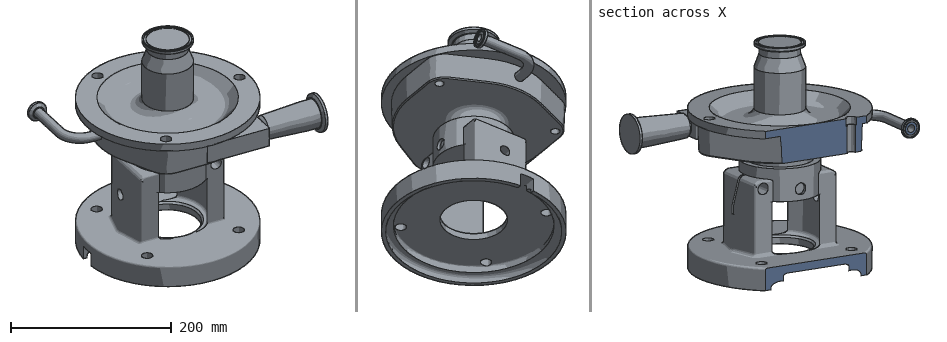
import cadquery as cq
import math

BASE_TOP = 29.4
HUB_BOTTOM = 98.0
LEG_TOP = 126.5
HUB_TOP = 140.5
BODY_BOTTOM = 160.5
BODY_TOP = 196.0
FLANGE_TOP = 206.0
PART_TOP = 290.5

PART_LENGTH = 320.7
PICK_MARGIN = 0.5

FLANGE_RADIUS = 115.0
BASE_RIM_FILLET = 3.0
BASE_BORE_RADIUS = 42.0
BASE_BORE_CHAMFER = 2.5
BASE_HOLE_RADIUS = 7.0
BASE_HOLE_CIRCLE_RADIUS = 92.0
BASE_HOLE_COUNT = 4
RECESS_OUTER_RADIUS = 109.5
RECESS_OUTER_DEPTH = 9.2
RECESS_OUTER_FILLET = 7.0
RECESS_INNER_RADIUS = 100.0
RECESS_INNER_DEPTH = 18.3
RECESS_INNER_FILLET = 3.0
NOTCH_WIDTH = 19.4
NOTCH_FILLET = 1.5

LEG_HALF_WIDTH = 39.0
LEG_INNER_RADIUS = 52.0
LEG_RIDGE_HALF_WIDTH = 2.9
LEG_RIDGE_Y = 68.4
LEG_FACE_ANGLE = 15.0
LEG_SLOPE_START = 88.0
LEG_EDGE_FILLET = 3.0
LEG_TOP_FILLET = 8.8
LEG_SIDE_FILLET = 3.3
LEG_FOOT_FILLET = 5.0
LEG_HOLE_RADIUS = 7.0
LEG_HOLE_Z = 84.8
CLAMP_SLIT_WIDTH = 3.4
CLAMP_HOLE_RADIUS = 7.4
CLAMP_HOLE_Y = 47.4
CLAMP_HOLE_Z = 116.6

HUB_RADIUS = 51.0
HUB_HOLE_RADIUS = 7.5
HUB_HOLE_DEPTH = 4.0
HUB_HOLE_Z = 112.8
NECK_RADIUS = 42.0
NECK_FILLET = 10.0

BODY_RADIUS = 102.6
BODY_NARROW_RADIUS = 98.0
BODY_NARROW_ANGLE = 270.0
LOBE_RADIUS = 29.0
LOBE_CENTRE_RADIUS = 85.0
LOBE_ANGLES = (90.0, 210.0, 330.0)
LOBE_SPACING = 120.0
BODY_DRAFT = 2.0
BODY_EDGE_CHAMFER = 1.5
FLANGE_HOLE_RADIUS = 7.0
LOBE_HOLE_RADIUS = 5.8
FLANGE_HOLE_CIRCLE_RADIUS = 102.0
DISH_RIM_RADIUS = 88.0
DISH_CONE_RADIUS = 77.8
DISH_FLOOR_RADIUS = 67.0
DISH_DEPTH = 14.5

INLET_RADIUS = 32.3
INLET_ROOT_WIDTH = 20.0
INLET_ROOT_HEIGHT = 13.5
INLET_SHOULDER_Z = 258.5
INLET_NECK_Z = 275.8
INLET_NECK_RADIUS = 26.0
INLET_FERRULE_RADIUS = 32.0
INLET_GROOVE_INNER_RADIUS = 27.0
INLET_GROOVE_OUTER_RADIUS = 30.0

OUTLET_X = 79.0
OUTLET_Z = 176.6
OUTLET_END_Y = 170.4
OUTLET_TAPER_Y = 149.5
OUTLET_WELD_Y = 92.0
OUTLET_BOSS_Y = 88.3
OUTLET_RADIUS = 18.9
OUTLET_SMALL_RADIUS = 15.8
OUTLET_ROOT_RADIUS = 12.7
OUTLET_FERRULE_RADIUS = 25.2
OUTLET_BOSS_WIDTH = 48.0
OUTLET_BOSS_HEIGHT = 25.4
OUTLET_BOSS_FILLET = 1.0

DRAIN_Z = 180.0
DRAIN_START_RADIUS = 90.0
DRAIN_RADIUS = 6.5
DRAIN_BORE_RADIUS = 4.7
DRAIN_BEND_RADIUS = 28.5
DRAIN_END_X = -88.8
DRAIN_FERRULE_RADIUS = 12.6
DRAIN_GROOVE_INNER_RADIUS = 8.6
DRAIN_GROOVE_OUTER_RADIUS = 10.8
DRAIN_Y = OUTLET_END_Y - PART_LENGTH + DRAIN_FERRULE_RADIUS

FERRULE_RIM = 3.6
FERRULE_CONE = 2.4
FERRULE_BACK_FRACTION = 0.25
FERRULE_GROOVE_DEPTH = 1.2


def polar(radius, degrees):
    """Point at a distance and direction from the part axis."""
    angle = math.radians(degrees)
    return (radius * math.cos(angle), radius * math.sin(angle))


def offset_point(centre, radius, degrees):
    """Point at a distance and direction from a given centre."""
    offset = polar(radius, degrees)
    return (centre[0] + offset[0], centre[1] + offset[1])


def disc(radius, bottom, top):
    return cq.Workplane("XY").workplane(offset=bottom).circle(radius).extrude(top - bottom)


def revolved(profile):
    """Revolve an (radius, height) profile about the Z axis."""
    return cq.Workplane("XZ").polyline(profile).close().revolve(360, (0, 0, 0), (0, 1, 0))


def ferrule(outer_radius, tube_radius):
    """Clamp ferrule with its face at Z = 0 and its tapered back towards -Z."""
    back_radius = tube_radius + (outer_radius - tube_radius) * FERRULE_BACK_FRACTION
    return revolved([
        (0, 0),
        (outer_radius, 0),
        (outer_radius, -FERRULE_RIM),
        (back_radius, -FERRULE_RIM - FERRULE_CONE),
        (0, -FERRULE_RIM - FERRULE_CONE),
    ])


def face_groove(inner_radius, outer_radius):
    """Gasket groove tool, to be cut from a ferrule face at Z = 0."""
    return disc(outer_radius, -FERRULE_GROOVE_DEPTH, 0).cut(disc(inner_radius, -FERRULE_GROOVE_DEPTH, 0))


def make_leg():
    """Leg on the -Y side: ridged outer face, sloped shoulder, hub bore inside."""
    side_y = LEG_RIDGE_Y - (LEG_HALF_WIDTH - LEG_RIDGE_HALF_WIDTH) * math.tan(math.radians(LEG_FACE_ANGLE))
    leg = (
        cq.Workplane("XY")
        .polyline([
            (-LEG_HALF_WIDTH, 0),
            (-LEG_HALF_WIDTH, -side_y),
            (-LEG_RIDGE_HALF_WIDTH, -LEG_RIDGE_Y),
            (LEG_RIDGE_HALF_WIDTH, -LEG_RIDGE_Y),
            (LEG_HALF_WIDTH, -side_y),
            (LEG_HALF_WIDTH, 0),
        ])
        .close()
        .extrude(LEG_TOP)
    )
    corner_picker = cq.selectors.BoxSelector(
        (-LEG_HALF_WIDTH - PICK_MARGIN, -side_y - PICK_MARGIN, 0),
        (LEG_HALF_WIDTH + PICK_MARGIN, -side_y + PICK_MARGIN, LEG_TOP),
    )
    leg = leg.edges("|Z").edges(corner_picker).fillet(LEG_EDGE_FILLET)

    slope_run = (LEG_TOP - LEG_SLOPE_START) * math.tan(math.radians(LEG_FACE_ANGLE))
    shoulder = (
        cq.Workplane("YZ")
        .polyline([
            (-LEG_RIDGE_Y, LEG_SLOPE_START),
            (-LEG_RIDGE_Y + slope_run, LEG_TOP),
            (-LEG_RIDGE_Y, LEG_TOP),
        ])
        .close()
        .extrude(LEG_HALF_WIDTH, both=True)
    )
    leg = leg.cut(shoulder)
    leg = leg.faces(">Z").edges("<Y").fillet(LEG_TOP_FILLET)
    leg = leg.faces(">Z").edges("|Y").fillet(LEG_SIDE_FILLET)
    return leg.cut(disc(LEG_INNER_RADIUS, 0, HUB_BOTTOM)).cut(disc(HUB_RADIUS, HUB_BOTTOM, LEG_TOP))


def make_stand():
    """Base disc with both legs and the fillet around their feet."""
    leg = make_leg()
    legs = leg.union(leg.rotate((0, 0, 0), (0, 0, 1), 180))
    base = disc(FLANGE_RADIUS, 0, BASE_TOP).faces(">Z").edges().fillet(BASE_RIM_FILLET)
    stand = base.union(legs)
    foot_limit = LEG_RIDGE_Y + PICK_MARGIN
    foot = cq.selectors.BoxSelector(
        (-foot_limit, -foot_limit, BASE_TOP - PICK_MARGIN),
        (foot_limit, foot_limit, BASE_TOP + PICK_MARGIN),
    )
    return stand.edges(foot).fillet(LEG_FOOT_FILLET)


def cut_base_details(stand):
    """Bore, bolt holes, stepped underside recess and rim notch of the base disc."""
    bore = (
        cq.Workplane("XY")
        .circle(BASE_BORE_RADIUS)
        .extrude(BASE_TOP)
        .faces(">Z")
        .workplane()
        .circle(BASE_BORE_RADIUS + BASE_BORE_CHAMFER)
        .workplane(offset=-BASE_BORE_CHAMFER)
        .circle(BASE_BORE_RADIUS)
        .loft(combine=True)
    )
    bolt_holes = (
        cq.Workplane("XY")
        .polarArray(BASE_HOLE_CIRCLE_RADIUS, 180 / BASE_HOLE_COUNT, 360, BASE_HOLE_COUNT)
        .circle(BASE_HOLE_RADIUS)
        .extrude(BASE_TOP)
    )
    outer_recess = disc(RECESS_OUTER_RADIUS, 0, RECESS_OUTER_DEPTH)
    outer_recess = outer_recess.faces(">Z").edges().fillet(RECESS_OUTER_FILLET)
    inner_recess = disc(RECESS_INNER_RADIUS, 0, RECESS_INNER_DEPTH)
    inner_recess = inner_recess.faces(">Z").edges().fillet(RECESS_INNER_FILLET)
    notch_length = FLANGE_RADIUS - RECESS_INNER_RADIUS + 2 * RECESS_INNER_FILLET
    notch = (
        cq.Workplane("XY")
        .center(0, -FLANGE_RADIUS + notch_length / 2)
        .rect(NOTCH_WIDTH, notch_length)
        .extrude(RECESS_INNER_DEPTH)
        .faces(">Z")
        .edges("|Y")
        .fillet(NOTCH_FILLET)
    )
    return stand.cut(bore).cut(bolt_holes).cut(outer_recess).cut(inner_recess).cut(notch)


def cut_leg_openings(stand):
    """Round hole through the -Y leg and clamping slit through the +Y leg."""
    leg_hole = (
        cq.Workplane("XZ")
        .center(0, LEG_HOLE_Z)
        .circle(LEG_HOLE_RADIUS)
        .extrude(LEG_RIDGE_Y)
    )
    slit_bottom = LEG_HOLE_Z - LEG_HOLE_RADIUS
    slit = (
        cq.Workplane("XY")
        .workplane(offset=slit_bottom)
        .center(0, LEG_RIDGE_Y / 2)
        .rect(CLAMP_SLIT_WIDTH, LEG_RIDGE_Y)
        .extrude(LEG_TOP - slit_bottom)
    )
    return stand.cut(leg_hole).cut(slit)


def make_hub():
    """Clamped hub with a blind hole facing -X."""
    hub = disc(HUB_RADIUS, HUB_BOTTOM, HUB_TOP)
    hole = (
        cq.Workplane("YZ")
        .center(0, HUB_HOLE_Z)
        .circle(HUB_HOLE_RADIUS)
        .extrude(-HUB_RADIUS)
        .cut(disc(HUB_RADIUS - HUB_HOLE_DEPTH, HUB_BOTTOM, HUB_TOP))
    )
    return hub.cut(hole)


def cut_clamp_hole(stand):
    """Clamp bolt hole along X through the top of the +Y leg and the edge of the hub."""
    clamp_hole = (
        cq.Workplane("YZ")
        .center(CLAMP_HOLE_Y, CLAMP_HOLE_Z)
        .circle(CLAMP_HOLE_RADIUS)
        .extrude(HUB_RADIUS, both=True)
    )
    return stand.cut(clamp_hole)


def make_neck():
    """Neck between hub and body, flaring into the body underside."""
    profile = (
        cq.Workplane("XZ")
        .moveTo(0, HUB_TOP)
        .lineTo(NECK_RADIUS, HUB_TOP)
        .lineTo(NECK_RADIUS, BODY_BOTTOM - NECK_FILLET)
        .radiusArc((NECK_RADIUS + NECK_FILLET, BODY_BOTTOM), NECK_FILLET)
        .lineTo(0, BODY_BOTTOM)
        .close()
    )
    return profile.revolve(360, (0, 0, 0), (0, 1, 0))


def gap_radius(direction):
    """Casing radius about the part axis, in the gap between lobes facing this direction."""
    return BODY_NARROW_RADIUS if direction == BODY_NARROW_ANGLE else BODY_RADIUS


def gap_contact_angle(direction):
    """Angle from a lobe's axis to the flat that is tangent to the lobe and the gap's arc."""
    return math.degrees(math.acos((gap_radius(direction) - LOBE_RADIUS) / LOBE_CENTRE_RADIUS))


def make_casing():
    """Three-lobed casing: arcs about the part axis joined to the lobes by tangent flats.

    The gap between lobes facing -Y has its own, smaller arc than the other two gaps.
    """
    outline = cq.Workplane("XY").workplane(offset=BODY_TOP)
    started = False
    for axis in LOBE_ANGLES:
        centre = polar(LOBE_CENTRE_RADIUS, axis)
        angle_before = axis - gap_contact_angle(axis - LOBE_SPACING / 2)
        angle_after = axis + gap_contact_angle(axis + LOBE_SPACING / 2)
        radius_before = gap_radius(axis - LOBE_SPACING / 2)
        radius_after = gap_radius(axis + LOBE_SPACING / 2)
        lobe_start = offset_point(centre, LOBE_RADIUS, angle_before)
        lobe_tip = offset_point(centre, LOBE_RADIUS, axis)
        lobe_end = offset_point(centre, LOBE_RADIUS, angle_after)
        gap_end = polar(radius_before, angle_before)
        if started:
            outline = outline.threePointArc(polar(radius_before, axis - LOBE_SPACING / 2), gap_end)
        else:
            first_point = gap_end
            outline = outline.moveTo(*first_point)
            started = True
        outline = outline.lineTo(*lobe_start).threePointArc(lobe_tip, lobe_end)
        outline = outline.lineTo(*polar(radius_after, angle_after))
    closing_gap = LOBE_ANGLES[-1] + LOBE_SPACING / 2
    outline = outline.threePointArc(polar(gap_radius(closing_gap), closing_gap), first_point)
    casing = outline.close().extrude(BODY_BOTTOM - BODY_TOP, taper=BODY_DRAFT)
    return casing.faces("<Z").edges().chamfer(BODY_EDGE_CHAMFER)


def make_dish():
    """Cutting tool for the dished recess in the flange top."""
    wall_run = DISH_RIM_RADIUS - DISH_CONE_RADIUS
    bend_run = DISH_CONE_RADIUS - DISH_FLOOR_RADIUS
    floor_z = FLANGE_TOP - DISH_DEPTH
    bend_drop = DISH_DEPTH - wall_run
    bend_radius = (bend_run ** 2 + bend_drop ** 2) / (2 * bend_drop)
    profile = (
        cq.Workplane("XZ")
        .moveTo(0, FLANGE_TOP)
        .lineTo(DISH_RIM_RADIUS, FLANGE_TOP)
        .lineTo(DISH_CONE_RADIUS, FLANGE_TOP - wall_run)
        .radiusArc((DISH_FLOOR_RADIUS, floor_z), bend_radius)
        .lineTo(0, floor_z)
        .close()
    )
    return profile.revolve(360, (0, 0, 0), (0, 1, 0))


def make_bolt_holes():
    """Cutting tool: clearance holes in the flange, narrower holes in the lobes below."""
    centres = [polar(FLANGE_HOLE_CIRCLE_RADIUS, angle) for angle in LOBE_ANGLES]
    holes = cq.Workplane("XY").workplane(offset=BODY_BOTTOM).pushPoints(centres)
    lobe_holes = holes.circle(LOBE_HOLE_RADIUS).extrude(BODY_TOP - BODY_BOTTOM)
    flange_holes = (
        cq.Workplane("XY")
        .workplane(offset=BODY_TOP)
        .pushPoints(centres)
        .circle(FLANGE_HOLE_RADIUS)
        .extrude(FLANGE_TOP - BODY_TOP)
    )
    return lobe_holes.union(flange_holes)


def make_inlet():
    """Vertical inlet tube with a flared root and a clamp ferrule on top."""
    floor_z = FLANGE_TOP - DISH_DEPTH
    root_radius = (INLET_ROOT_WIDTH ** 2 + INLET_ROOT_HEIGHT ** 2) / (2 * INLET_ROOT_HEIGHT)
    profile = (
        cq.Workplane("XZ")
        .moveTo(0, floor_z)
        .lineTo(INLET_RADIUS + INLET_ROOT_WIDTH, floor_z)
        .radiusArc((INLET_RADIUS, floor_z + INLET_ROOT_HEIGHT), root_radius)
        .lineTo(INLET_RADIUS, INLET_SHOULDER_Z)
        .lineTo(INLET_NECK_RADIUS, INLET_NECK_Z)
        .lineTo(INLET_NECK_RADIUS, PART_TOP - FERRULE_RIM)
        .lineTo(0, PART_TOP - FERRULE_RIM)
        .close()
    )
    tube = profile.revolve(360, (0, 0, 0), (0, 1, 0))
    head = ferrule(INLET_FERRULE_RADIUS, INLET_NECK_RADIUS)
    head = head.cut(face_groove(INLET_GROOVE_INNER_RADIUS, INLET_GROOVE_OUTER_RADIUS))
    return tube.union(head.translate((0, 0, PART_TOP)))


def make_outlet():
    """Tangential outlet towards +Y: boss, weld cone, tapered tube and ferrule."""
    tube = revolved([
        (0, 0),
        (OUTLET_RADIUS, 0),
        (OUTLET_RADIUS, OUTLET_TAPER_Y - OUTLET_END_Y),
        (OUTLET_SMALL_RADIUS, OUTLET_WELD_Y - OUTLET_END_Y),
        (OUTLET_ROOT_RADIUS, OUTLET_BOSS_Y - OUTLET_END_Y),
        (0, OUTLET_BOSS_Y - OUTLET_END_Y),
    ])
    tube = tube.union(ferrule(OUTLET_FERRULE_RADIUS, OUTLET_RADIUS))
    tube = tube.rotate((0, 0, 0), (1, 0, 0), -90).translate((OUTLET_X, OUTLET_END_Y, OUTLET_Z))
    boss = (
        cq.Workplane("XZ")
        .center(OUTLET_X, OUTLET_Z)
        .rect(OUTLET_BOSS_WIDTH, OUTLET_BOSS_HEIGHT)
        .extrude(-OUTLET_BOSS_Y)
        .edges("|Z and >Y")
        .fillet(OUTLET_BOSS_FILLET)
    )
    return tube.union(boss)


def drain_path():
    """Centreline of the drain pipe from the casing out to its end."""
    return (
        cq.Workplane("XY")
        .workplane(offset=DRAIN_Z)
        .moveTo(0, -DRAIN_START_RADIUS)
        .lineTo(0, DRAIN_Y + DRAIN_BEND_RADIUS)
        .radiusArc((-DRAIN_BEND_RADIUS, DRAIN_Y), DRAIN_BEND_RADIUS)
        .lineTo(DRAIN_END_X, DRAIN_Y)
    )


def drain_sweep(radius):
    """Round bar of the given radius along the drain pipe's centreline."""
    section = cq.Workplane("XZ", origin=(0, -DRAIN_START_RADIUS, DRAIN_Z)).circle(radius)
    return section.sweep(drain_path())


def make_drain_pipe():
    """Drain pipe bent from -Y to -X, with a small ferrule at its end."""
    head = ferrule(DRAIN_FERRULE_RADIUS, DRAIN_RADIUS)
    head = head.cut(face_groove(DRAIN_GROOVE_INNER_RADIUS, DRAIN_GROOVE_OUTER_RADIUS))
    head = head.rotate((0, 0, 0), (0, 1, 0), -90).translate((DRAIN_END_X, DRAIN_Y, DRAIN_Z))
    return drain_sweep(DRAIN_RADIUS).union(head)


stand = cut_leg_openings(cut_base_details(make_stand())).union(make_hub())
stand = cut_clamp_hole(stand)

casing = make_casing().union(disc(FLANGE_RADIUS, BODY_TOP, FLANGE_TOP)).union(make_outlet())
casing = casing.cut(make_dish()).cut(make_bolt_holes()).union(make_inlet())
casing = casing.union(make_drain_pipe()).cut(drain_sweep(DRAIN_BORE_RADIUS))

result = stand.union(make_neck()).union(casing)